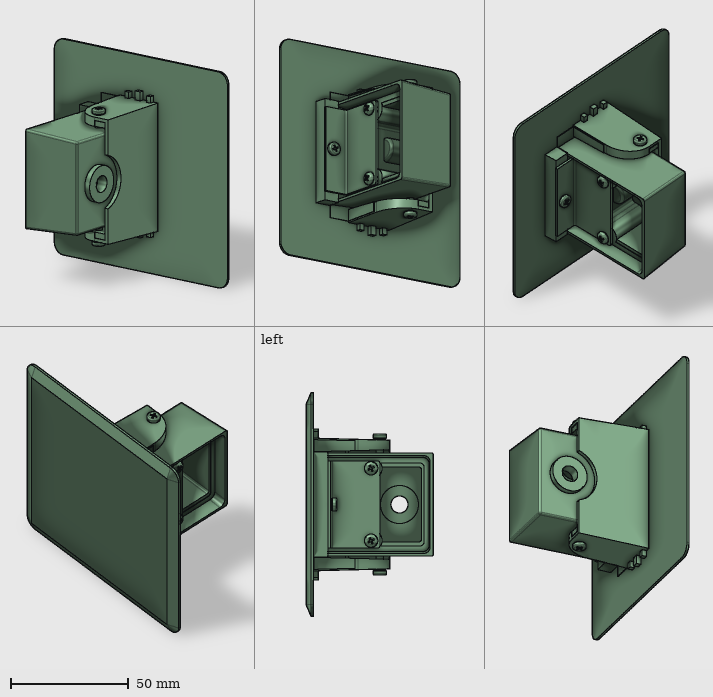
import cadquery as cq
import math


plate_side = 94.8
plate_thickness = 3.1
plate_corner_radius = 5.0
bevel_width = 4.9
bevel_depth = 2.1

base_thickness = 0.3
base_half_height = 27.6
bracket_left = -11.6
bracket_right = 9.5
bracket_half_height = 28.1
bracket_depth = 32.4
arm_inner_z = 22.4
web_inner_x = 6.0
bracket_draft = 1.5
tip_round_start = 18.1
web_notch_radius = 12.4
tip_step_left = 1.2
tip_step_outer_z = 25.8
tip_step_depth = 0.3
cheek_proud = 0.3
cheek_depth = 17.5
cheek_outer_z = 27.5
stop_pin_x = -8.5
stop_pin_y = -14.2
stop_pin_radius = 0.7
stop_pin_end_z = 21.7
block_left = -28.9
block_depth = 6.2
block_half_height = 22.3
block_lean = 0.4
tab_spacing = 6.0
tab_depth = 2.1
side_tab_width = 2.2
side_tab_top = 30.9
middle_tab_width = 2.7
middle_tab_top = 32.0

hinge_x = 0.0
hinge_y = -28.1
hinge_seat_z = 27.3

housing_left = -21.4
housing_right = 5.8
housing_front = -50.9
housing_half_height = 21.9
housing_draft = 2.9
housing_edge_radius = 0.95
rim_front = -49.5
rim_half_height = 20.8
opening_back = -3.8
ledge_front = -49.1
ledge_half_height = 20.0
opening_corner_radius = 2.8
ledge_x = -15.5
recess_front = -46.9
recess_half_height = 17.5
recess_depth = 0.2
recess_corner_radius = 1.7
cavity_front = -45.9
cavity_back = -20.4
cavity_half_height = 15.8
cavity_floor_x = 3.3
cavity_corner_radius = 1.1
boss_radius = 4.6
boss_y = -24.45
boss_z = 15.4
boss_blend_radius = 1.9
stub_radius = 5.3
stub_end_x = -8.15
stub_end_round = 1.2

gland_y = -36.5
gland_radius = 8.1
gland_bore_radius = 3.6
gland_right = 8.4

clip_back_x = -17.1
clip_thickness = 1.1
clip_bend_radius = 0.8
clip_half_height = 18.5
clip_end_y = -28.1
clip_corner_radius = 0.95
foot_screw_x = -25.9

head_radius = 2.8
head_height = 2.2
head_underside_bevel = 0.4
shank_radius = 1.6
raised_head_gap = 0.5
cross_length = 2.8
cross_width = 0.6
cross_depth = 0.8
cross_angle = 25.0
pan_round = 1.5
cheese_round = 0.7
hinge_screw_length = 5.5
foot_screw_length = 5.7
clip_screw_length = 6.6


def block_between(x0, x1, y0, y1, z0, z1):
    """Box spanning two opposite corners."""
    return cq.Workplane("XY").box(x1 - x0, y1 - y0, z1 - z0, centered=False).translate((x0, y0, z0))


def both_sides(shape):
    """The shape together with its mirror image below Z = 0."""
    return shape.union(shape.mirror("XY"))


def profile_along_x(x, y_front, y_back, half_height):
    """Rectangle in a plane of constant X, ready to extrude toward +X."""
    return (
        cq.Workplane("YZ", origin=(x, 0, 0))
        .center((y_front + y_back) / 2, 0)
        .rect(y_back - y_front, 2 * half_height)
    )


def make_plate():
    plate = (
        cq.Workplane("XZ")
        .rect(plate_side, plate_side)
        .extrude(-plate_thickness)
        .edges("|Y")
        .fillet(plate_corner_radius)
    )
    return plate.faces(">Y").chamfer(bevel_depth, bevel_width)


def make_arm_envelope():
    """Bracket outline seen along Z, with the elliptical round at the arm tips."""
    round_left = bracket_left + tip_round_start * math.tan(math.radians(bracket_draft))
    return (
        cq.Workplane("XY", origin=(0, 0, -bracket_half_height))
        .moveTo(bracket_left, 0)
        .lineTo(round_left, -tip_round_start)
        .ellipseArc(
            tip_step_left - round_left,
            bracket_depth - tip_round_start,
            angle1=180,
            angle2=270,
            sense=1,
            startAtCurrent=True,
        )
        .lineTo(bracket_right, -bracket_depth)
        .lineTo(bracket_right, 0)
        .close()
        .extrude(2 * bracket_half_height)
    )


def make_arms_and_web():
    channel = (
        cq.Workplane("XZ")
        .polyline(
            [
                (bracket_left, bracket_half_height),
                (bracket_right, bracket_half_height),
                (bracket_right, -bracket_half_height),
                (bracket_left, -bracket_half_height),
                (bracket_left, -arm_inner_z),
                (web_inner_x, -arm_inner_z),
                (web_inner_x, arm_inner_z),
                (bracket_left, arm_inner_z),
            ]
        )
        .close()
        .extrude(bracket_depth, taper=bracket_draft)
    )
    notch = (
        cq.Workplane("YZ", origin=(0, gland_y, 0))
        .circle(web_notch_radius)
        .extrude(bracket_right)
    )
    step_right = web_inner_x + bracket_depth * math.tan(math.radians(bracket_draft))
    step_back = tip_step_depth - bracket_depth
    tip_step = block_between(
        tip_step_left, step_right, -bracket_depth, step_back, arm_inner_z, tip_step_outer_z
    )
    return channel.intersect(make_arm_envelope()).cut(notch).cut(both_sides(tip_step))


def make_cheek():
    """Raised pad on the -X side of the upper arm."""
    left = bracket_left - cheek_proud
    right = hinge_x
    return (
        cq.Workplane("XZ")
        .center((left + right) / 2, (arm_inner_z + cheek_outer_z) / 2)
        .rect(right - left, cheek_outer_z - arm_inner_z)
        .extrude(cheek_depth, taper=bracket_draft)
    )


def make_stop_pin():
    """Small pin on the inner side of the upper arm."""
    return (
        cq.Workplane("XY", origin=(stop_pin_x, stop_pin_y, stop_pin_end_z))
        .circle(stop_pin_radius)
        .extrude(tip_step_outer_z - stop_pin_end_z)
    )


def make_clip_block():
    """Block that carries the clip; its outer side leans inward toward the front."""
    return (
        cq.Workplane("XY", origin=(0, 0, -block_half_height))
        .polyline(
            [
                (block_left, 0),
                (block_left + block_lean, -block_depth),
                (housing_left, -block_depth),
                (housing_left, 0),
            ]
        )
        .close()
        .extrude(2 * block_half_height)
    )


def make_tab(x, width, top):
    return block_between(x - width / 2, x + width / 2, -tab_depth, 0, base_half_height, top)


def make_bracket():
    base = block_between(
        housing_left, bracket_right, -base_thickness, 0, -base_half_height, base_half_height
    )
    tabs = make_tab(hinge_x, middle_tab_width, middle_tab_top)
    for x in (hinge_x - tab_spacing, hinge_x + tab_spacing):
        tabs = tabs.union(make_tab(x, side_tab_width, side_tab_top))
    paired_details = both_sides(tabs.union(make_cheek()).union(make_stop_pin()))
    return base.union(make_arms_and_web()).union(make_clip_block()).union(paired_details)


def make_housing_shell():
    """Drafted box with rounded edges, cut square where it stands on the bracket base."""
    length = housing_right - housing_left
    back = length * math.tan(math.radians(housing_draft)) + housing_edge_radius
    box = (
        profile_along_x(housing_left, housing_front, back, housing_half_height)
        .extrude(length, taper=housing_draft)
        .edges("not <X")
        .fillet(housing_edge_radius)
    )
    behind_base = block_between(
        housing_left, housing_right, -base_thickness, back, -housing_half_height, housing_half_height
    )
    return box.cut(behind_base)


def make_boss_columns():
    """Two screw bosses, each joined by a web to the back wall of the cavity."""
    length = cavity_floor_x - ledge_x
    boss = cq.Workplane("YZ", origin=(ledge_x, boss_y, boss_z)).circle(boss_radius).extrude(length)
    web = block_between(
        ledge_x, cavity_floor_x, boss_y, cavity_back, boss_z - boss_radius, boss_z + boss_radius
    )
    return both_sides(boss.union(web))


def make_wall_stub():
    """Round-ended stub that runs along the middle of the back wall of the cavity."""
    return (
        cq.Workplane("YZ", origin=(stub_end_x, cavity_back, 0))
        .circle(stub_radius)
        .extrude(cavity_floor_x - stub_end_x)
        .faces("<X")
        .edges()
        .fillet(stub_end_round)
    )


def make_cavity():
    cavity = (
        profile_along_x(ledge_x, cavity_front, cavity_back, cavity_half_height)
        .extrude(cavity_floor_x - ledge_x)
        .edges("|X and <Y")
        .fillet(cavity_corner_radius)
        .cut(make_boss_columns())
    )
    return cavity.edges("|X and >Y").fillet(boss_blend_radius).cut(make_wall_stub())


def make_opening():
    """Mouth of the housing, tapering from the rim down to the ledge."""
    return (
        profile_along_x(housing_left, rim_front, opening_back, rim_half_height)
        .workplane(offset=ledge_x - housing_left)
        .center((ledge_front - rim_front) / 2, 0)
        .rect(opening_back - ledge_front, 2 * ledge_half_height)
        .loft(ruled=True)
        .edges("not(<X or >X)")
        .edges("<Y")
        .fillet(opening_corner_radius)
    )


def make_housing():
    recess = (
        profile_along_x(ledge_x, recess_front, cavity_back, recess_half_height)
        .extrude(recess_depth)
        .edges("|X and <Y")
        .fillet(recess_corner_radius)
        .cut(make_boss_columns())
    )
    gland_hole = (
        cq.Workplane("YZ", origin=(cavity_floor_x, gland_y, 0))
        .circle(gland_radius)
        .extrude(housing_right - cavity_floor_x)
    )
    return make_housing_shell().cut(make_opening()).cut(recess).cut(make_cavity()).cut(gland_hole)


def make_gland():
    return (
        cq.Workplane("YZ", origin=(cavity_floor_x, gland_y, 0))
        .circle(gland_radius)
        .circle(gland_bore_radius)
        .extrude(gland_right - cavity_floor_x)
    )


def make_clip():
    """Foot on the clip block, bend, and leg over the screw bosses of the housing."""
    foot_back = -block_depth
    foot_front = foot_back - clip_thickness
    leg_outer_x = clip_back_x - clip_thickness
    bend_x = leg_outer_x - clip_bend_radius
    bend_y = foot_front - clip_bend_radius
    outer_radius = clip_bend_radius + clip_thickness
    return (
        cq.Workplane("XY", origin=(0, 0, -clip_half_height))
        .moveTo(block_left, foot_back)
        .lineTo(bend_x, foot_back)
        .radiusArc((clip_back_x, bend_y), outer_radius)
        .lineTo(clip_back_x, clip_end_y)
        .lineTo(leg_outer_x, clip_end_y)
        .lineTo(leg_outer_x, bend_y)
        .radiusArc((bend_x, foot_front), -clip_bend_radius)
        .lineTo(block_left, foot_front)
        .close()
        .extrude(2 * clip_half_height)
        .edges("|X and <Y")
        .fillet(clip_corner_radius)
    )


def make_screw(length, head_gap, head_round):
    """Cross-recessed screw along Z, seated at Z = 0 with its head upward."""
    head = (
        cq.Workplane("XY", origin=(0, 0, head_gap))
        .circle(head_radius)
        .extrude(head_height)
        .faces(">Z")
        .edges()
        .fillet(head_round)
        .faces("<Z")
        .edges()
        .chamfer(head_underside_bevel)
    )
    shank = cq.Workplane("XY", origin=(0, 0, -length)).circle(shank_radius).extrude(length + head_gap)
    cross = (
        cq.Workplane("XY", origin=(0, 0, head_gap + head_height - cross_depth))
        .rect(cross_length, cross_width)
        .extrude(cross_depth)
    )
    cross = cross.union(cross.rotate((0, 0, 0), (0, 0, 1), 90)).rotate((0, 0, 0), (0, 0, 1), cross_angle)
    return head.union(shank).cut(cross)


def make_hinge_screws():
    screw = make_screw(hinge_screw_length, raised_head_gap, cheese_round)
    upper = screw.translate((hinge_x, hinge_y, hinge_seat_z))
    return [upper, upper.mirror("XY")]


def make_foot_screw():
    screw = make_screw(foot_screw_length, raised_head_gap, cheese_round)
    seat_y = -block_depth - clip_thickness
    return screw.rotate((0, 0, 0), (1, 0, 0), 90).translate((foot_screw_x, seat_y, 0))


def make_clip_screws():
    screw = make_screw(clip_screw_length, 0, pan_round).rotate((0, 0, 0), (0, 1, 0), -90)
    seat_x = clip_back_x - clip_thickness
    return [screw.translate((seat_x, boss_y, z)) for z in (boss_z, -boss_z)]


plate = make_plate()
gland = make_gland()
hinge_screws = make_hinge_screws()
foot_screw = make_foot_screw()
clip_screws = make_clip_screws()
bracket = make_bracket().cut(foot_screw)
clip = make_clip().cut(foot_screw)
housing = make_housing()
for screw in hinge_screws:
    bracket = bracket.cut(screw)
for screw in clip_screws:
    clip = clip.cut(screw)
    housing = housing.cut(screw)

bodies = [plate, bracket, housing, gland, clip, foot_screw, *hinge_screws, *clip_screws]
result = cq.Compound.makeCompound([body.solids().val() for body in bodies])